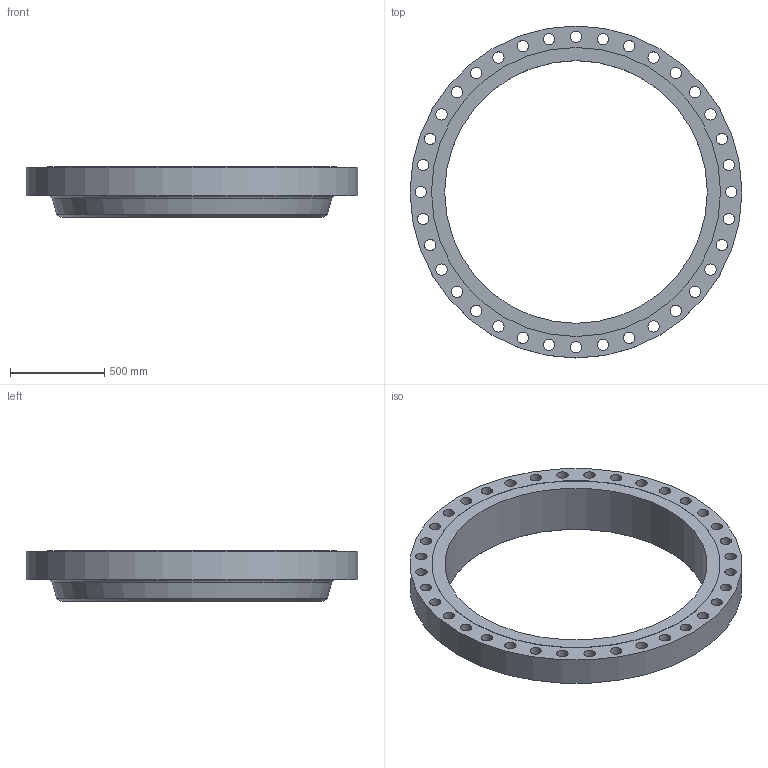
import cadquery as cq
import math

flange_diameter = 1765.3
flange_thickness = 152.4
overall_height = 268.29
bore_diameter = 1397.0

raised_face_diameter = 1536.7
raised_face_height = 1.6

hub_base_diameter = 1495.6
hub_end_diameter = 1441.0
hub_fillet_radius = 20.0

bevel_height = 16.8
root_face_width = 0.8

bolt_count = 36
bolt_circle_diameter = 1651.0
bolt_hole_diameter = 60.3

flange_top = overall_height - raised_face_height
flange_underside = flange_top - flange_thickness


def make_ring():
    """Revolve the half section of flange, raised face and hub about Z."""
    flange_radius = flange_diameter / 2
    raised_face_radius = raised_face_diameter / 2
    bore_radius = bore_diameter / 2
    hub_base_radius = hub_base_diameter / 2
    hub_end_radius = hub_end_diameter / 2

    taper = math.atan2(hub_base_radius - hub_end_radius, flange_underside - bevel_height)
    setback = hub_fillet_radius * math.tan((math.pi / 2 - taper) / 2)
    fillet_outer = (hub_base_radius + setback, flange_underside)
    fillet_lower = (
        hub_base_radius - setback * math.sin(taper),
        flange_underside - setback * math.cos(taper),
    )
    fillet_center = (fillet_outer[0], flange_underside - hub_fillet_radius)
    mid_angle = (math.pi / 2 + math.pi - taper) / 2
    fillet_middle = (
        fillet_center[0] + hub_fillet_radius * math.cos(mid_angle),
        fillet_center[1] + hub_fillet_radius * math.sin(mid_angle),
    )

    section = (
        cq.Workplane("XZ")
        .moveTo(bore_radius, 0)
        .lineTo(bore_radius + root_face_width, 0)
        .lineTo(hub_end_radius, bevel_height)
        .lineTo(*fillet_lower)
        .threePointArc(fillet_middle, fillet_outer)
        .lineTo(flange_radius, flange_underside)
        .lineTo(flange_radius, flange_top)
        .lineTo(raised_face_radius, flange_top)
        .lineTo(raised_face_radius, overall_height)
        .lineTo(bore_radius, overall_height)
        .close()
    )
    return section.revolve(360, (0, 0, 0), (0, 1, 0))


def make_bolt_holes():
    """Cylinders that pass through the flange on the bolt circle."""
    return (
        cq.Workplane("XY")
        .workplane(offset=flange_underside)
        .polarArray(bolt_circle_diameter / 2, 0, 360, bolt_count)
        .circle(bolt_hole_diameter / 2)
        .extrude(flange_thickness)
    )


result = make_ring().cut(make_bolt_holes())